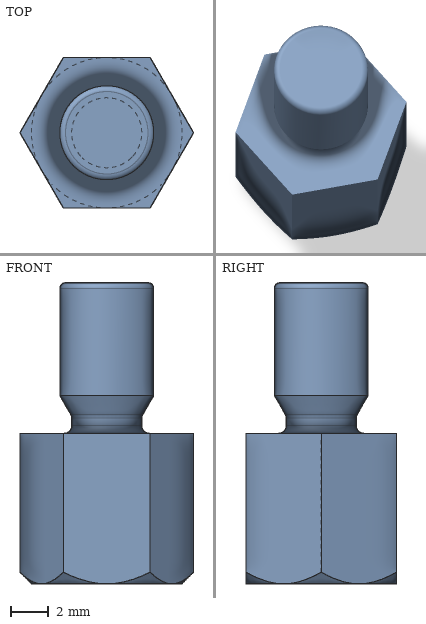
import cadquery as cq
import math

across_flats = 8.0
body_height = 8.0
across_corners = across_flats / math.cos(math.radians(30))
bottom_chamfer_angle = 45.0

total_height = 16.0
stud_radius = 5.0 / 2
tip_fillet = 0.3

undercut_length = 2.0
neck_radius = 3.73 / 2
taper_angle = 60.0
root_fillet = 0.4
shoulder_fillet = 0.4


def make_body():
    """Hexagonal prism with its lower corners turned off by a cone."""
    prism = cq.Workplane("XY").polygon(6, across_corners).extrude(body_height)
    flat_radius = across_flats / 2
    corner_radius = across_corners / 2
    chamfer_height = (corner_radius - flat_radius) * math.tan(math.radians(bottom_chamfer_angle))
    envelope = (
        cq.Workplane("XZ")
        .moveTo(0, 0)
        .lineTo(flat_radius, 0)
        .lineTo(corner_radius, chamfer_height)
        .lineTo(corner_radius, body_height)
        .lineTo(0, body_height)
        .close()
        .revolve(360, (0, 0, 0), (0, 1, 0))
    )
    return prism.intersect(envelope)


def make_stud():
    """Turned stud: filleted neck, cone, plain shank and rounded tip."""
    slope = math.radians(taper_angle)
    cone_top = body_height + undercut_length
    cone_bottom = cone_top - (stud_radius - neck_radius) * math.tan(slope)

    turn = math.pi / 2 - slope
    tangent_length = shoulder_fillet * math.tan(turn / 2)
    arc_start = (neck_radius, cone_bottom - tangent_length)
    arc_center_x = neck_radius + shoulder_fillet
    arc_middle = (
        arc_center_x - shoulder_fillet * math.cos(turn / 2),
        arc_start[1] + shoulder_fillet * math.sin(turn / 2),
    )
    arc_end = (
        arc_center_x - shoulder_fillet * math.cos(turn),
        arc_start[1] + shoulder_fillet * math.sin(turn),
    )

    tip_reach = tip_fillet * (1 - math.sqrt(0.5))
    root_reach = root_fillet * (1 - math.sqrt(0.5))
    return (
        cq.Workplane("XZ")
        .moveTo(0, body_height)
        .lineTo(neck_radius + root_fillet, body_height)
        .threePointArc(
            (neck_radius + root_reach, body_height + root_reach),
            (neck_radius, body_height + root_fillet),
        )
        .lineTo(*arc_start)
        .threePointArc(arc_middle, arc_end)
        .lineTo(stud_radius, cone_top)
        .lineTo(stud_radius, total_height - tip_fillet)
        .threePointArc(
            (stud_radius - tip_reach, total_height - tip_reach),
            (stud_radius - tip_fillet, total_height),
        )
        .lineTo(0, total_height)
        .close()
        .revolve(360, (0, 0, 0), (0, 1, 0))
    )


result = make_body().union(make_stud())